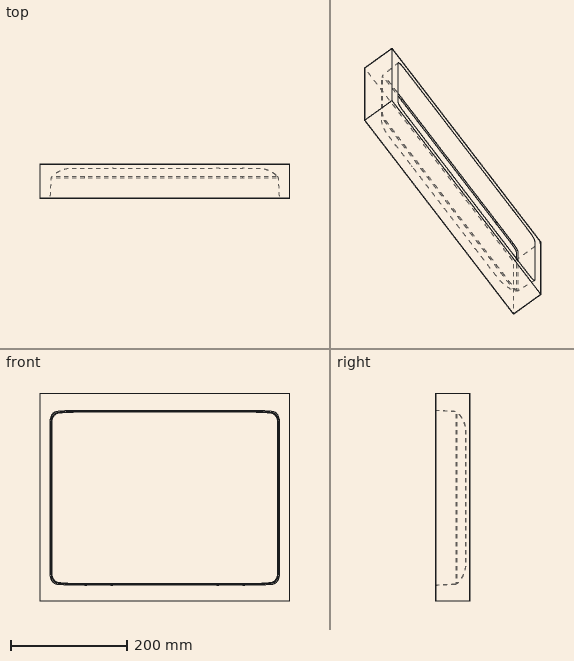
import math

import cadquery as cq

LENGTH = 428.6
DEPTH = 58.55
HEIGHT = 356.89

TRAY_CENTER_Z = -1.0
FLOOR_DEPTH = 51.5
FLOOR_HALF_X = 160.0
FLOOR_HALF_Z = 113.0

RIM_REACH = 36.9
FOOT_REACH = 35.1
FOOT_DEPTH = 34.5
BEND_REACH = 34.0
BEND_DEPTH = 37.0
TRANSITION_STEPS = 4

FLOOR_CORNER_RADIUS = 9.0
RIM_CORNER_RADIUS = 13.0
FLOOR_BLEND_RUN = 12.0
RIM_BLEND_RUN_X = 43.0
RIM_BLEND_RUN_Z = 19.0
FLOOR_BLEND_DROP = 0.2
RIM_BLEND_DROP = 1.2

INNER_GROOVE_X = 91.0
INNER_GROOVE_WIDTH = 5.6
OUTER_GROOVE_X = 135.6
OUTER_GROOVE_WIDTH = 4.6
GROOVE_DEPTH = 0.4
GROOVE_OVERLAP = 0.4

TRANSITION_RISE = FLOOR_DEPTH - BEND_DEPTH
TRANSITION_RADIUS = (BEND_REACH**2 + TRANSITION_RISE**2) / (2 * TRANSITION_RISE)
TRANSITION_ANGLE = math.asin(BEND_REACH / TRANSITION_RADIUS)


def transition_point(fraction):
    """Reach and depth on the transition arc: 0 at the bend, 1 at the floor."""
    angle = TRANSITION_ANGLE * (1 - fraction)
    reach = TRANSITION_RADIUS * math.sin(angle)
    depth = FLOOR_DEPTH - TRANSITION_RADIUS * (1 - math.cos(angle))
    return reach, depth


def blend_turn(run, drop, radius):
    """Angle turned by the shallow arc that joins a straight side to the corner arc."""
    return 2 * math.atan2(drop, run - drop - radius)


def corner_points(reach):
    """Points (x, z) of the corner, each with the direction of its outward normal."""
    share = reach / RIM_REACH

    def between(floor_value, rim_value):
        return floor_value + share * (rim_value - floor_value)

    half_x = FLOOR_HALF_X + reach
    half_z = FLOOR_HALF_Z + reach
    radius = between(FLOOR_CORNER_RADIUS, RIM_CORNER_RADIUS)
    drop = between(FLOOR_BLEND_DROP, RIM_BLEND_DROP)
    run_x = between(FLOOR_BLEND_RUN, RIM_BLEND_RUN_X)
    run_z = between(FLOOR_BLEND_RUN, RIM_BLEND_RUN_Z)
    upright = math.pi / 2
    arc_start = blend_turn(run_z, drop, radius)
    arc_end = upright - blend_turn(run_x, drop, radius)

    def arc_point(angle):
        x = half_x - drop - radius + radius * math.cos(angle)
        z = half_z - drop - radius + radius * math.sin(angle)
        return (x, z), angle

    return [
        ((half_x, half_z - run_z), 0),
        arc_point(arc_start),
        arc_point((arc_start + arc_end) / 2),
        arc_point(arc_end),
        ((half_x - run_x, half_z), upright),
    ]


def tray_outline(reach, depth):
    """Closed outline of the tray at one depth, made of four mirrored quarters."""
    corner = corner_points(reach)
    edges = []
    for sign_x, sign_z in [(1, 1), (-1, 1), (-1, -1), (1, -1)]:
        points = []
        tangents = []
        for (x, z), angle in corner:
            points.append(cq.Vector(sign_x * x, depth, TRAY_CENTER_Z + sign_z * z))
            tangents.append(cq.Vector(-sign_x * math.sin(angle), 0, sign_z * math.cos(angle)))
        middle_of_short_side = cq.Vector(points[0].x, depth, TRAY_CENTER_Z)
        middle_of_long_side = cq.Vector(0, depth, points[-1].z)
        quarter = [
            cq.Edge.makeLine(middle_of_short_side, points[0]),
            cq.Edge.makeSpline(points, tangents),
            cq.Edge.makeLine(points[-1], middle_of_long_side),
        ]
        direction = sign_x * sign_z
        edges.extend(quarter[::direction])
    return cq.Wire.assembleEdges(edges)


def make_tray():
    """Tapered wall, narrow bend and concave transition down to the floor."""
    rim = tray_outline(RIM_REACH, 0)
    foot = tray_outline(FOOT_REACH, FOOT_DEPTH)
    sections = []
    for step in range(TRANSITION_STEPS + 1):
        reach, depth = transition_point(step / TRANSITION_STEPS)
        sections.append(tray_outline(reach, depth))
    wall = cq.Solid.makeLoft([rim, foot], ruled=True)
    bend = cq.Solid.makeLoft([foot, sections[0]], ruled=True)
    transition = cq.Solid.makeLoft(sections)
    return [wall, bend, transition]


def make_groove(x, width):
    """Shallow circular segment swept along the tray's cross-section."""

    def at(reach, depth, side):
        return depth, TRAY_CENTER_Z + side * (FLOOR_HALF_Z + reach)

    rim = (RIM_REACH, 0)
    foot = (FOOT_REACH, FOOT_DEPTH)
    bend = (BEND_REACH, BEND_DEPTH)
    middle = transition_point(0.5)
    floor = (0, FLOOR_DEPTH)
    path = (
        cq.Workplane("YZ", origin=(x, 0, 0))
        .moveTo(*at(*rim, -1))
        .lineTo(*at(*foot, -1))
        .lineTo(*at(*bend, -1))
        .threePointArc(at(*middle, -1), at(*floor, -1))
        .lineTo(*at(*floor, 1))
        .threePointArc(at(*middle, 1), at(*bend, 1))
        .lineTo(*at(*foot, 1))
        .lineTo(*at(*rim, 1))
    )
    _, start_z = at(*rim, -1)
    half_width = width / 2
    profile = (
        cq.Workplane("XZ", origin=(x, 0, start_z))
        .moveTo(-half_width, 0)
        .threePointArc((0, -GROOVE_DEPTH), (half_width, 0))
        .lineTo(half_width, GROOVE_OVERLAP)
        .lineTo(-half_width, GROOVE_OVERLAP)
        .close()
    )
    return profile.sweep(path, transition="right").val()


def make_grooves():
    """An inner and an outer groove on each side of the middle."""
    grooves = []
    for side in (-1, 1):
        grooves.append(make_groove(side * INNER_GROOVE_X, INNER_GROOVE_WIDTH))
        grooves.append(make_groove(side * OUTER_GROOVE_X, OUTER_GROOVE_WIDTH))
    return grooves


block = cq.Workplane("XY").box(LENGTH, DEPTH, HEIGHT).translate((0, DEPTH / 2, 0)).val()
body = block.cut(*make_tray()).cut(*make_grooves())
result = cq.Workplane(body).solids()